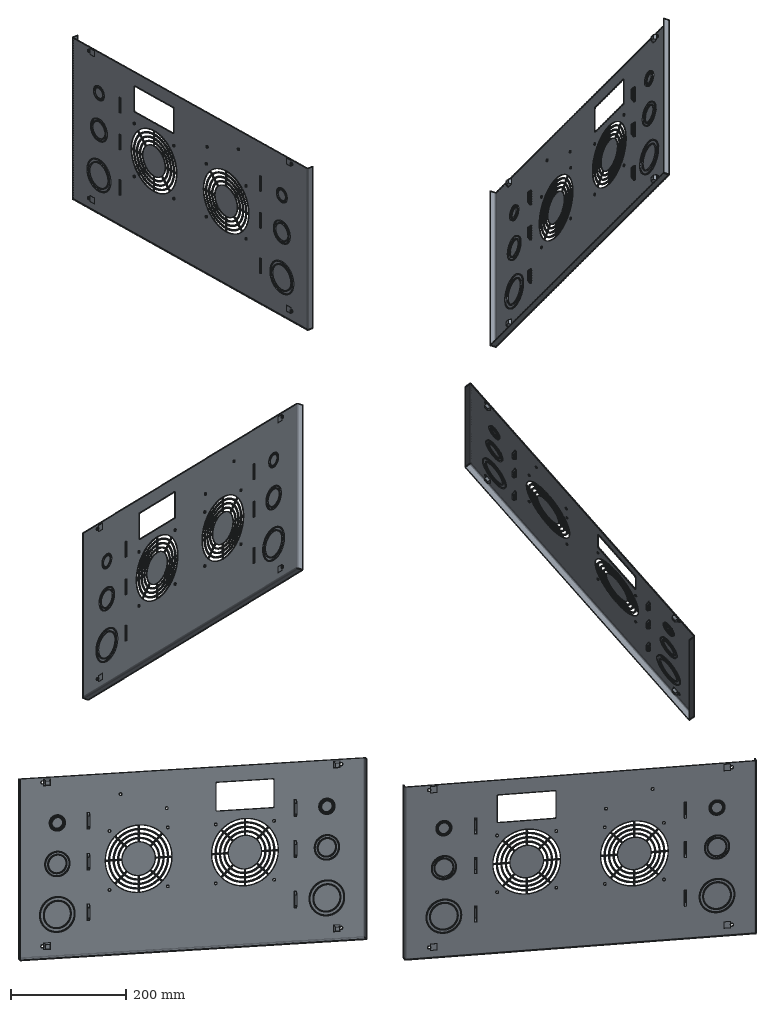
import cadquery as cq
WIDTH = 625.0
HEIGHT = 321.0
DEPTH = 12.5
SHEET = 1.5
BEND_RADIUS = 2.1
CORNER_GAP = 1.0

FAN_X = 95.5
FAN_Z = 5.5
HUB_DIAMETER = 60.0
GRILLE_SLOT = 6.0
GRILLE_RIB = 2.0
SLOT_RINGS = 4
SPOKE_BARS = 4
FAN_HOLE_PITCH = 105.0
FAN_HOLE_DIAMETER = 4.5

WINDOW_WIDTH = 104.5
WINDOW_HEIGHT = 51.0
WINDOW_Z = 107.5
WINDOW_CORNER_RADIUS = 2.0

CORNER_HOLE_DIAMETER = 5.55
CORNER_HOLE_X = 268.5
CORNER_HOLE_Z = (152.0, -140.0)
EXTRA_HOLE_DIAMETER = 4.75
EXTRA_HOLES = ((45.0, 92.5), (128.0, 122.5))

KNOCKOUT_X = 242.5
KNOCKOUTS = (
    (79.0, 22.5, 25.5),
    (FAN_Z, 35.0, 42.0),
    (-84.5, 50.5, 60.5),
)
GROOVE_DEPTH = 2.8
BRIDGE_X = 186.0
BRIDGE_WIDTH = 4.0
BRIDGE_LENGTH = 29.5
BRIDGE_RISE = 5.25

BLOCK_X = 260.5
BLOCK_BASE = 12.0
BLOCK_HEIGHT = 5.25
BLOCK_TAPER = 22.0

SIDES = (-1, 1)


def on_sheet(y=0.0):
    """Workplane parallel to the sheet at depth y: local x is X, local y is Z, and extrusion goes to +Y."""
    return cq.Workplane(cq.Plane(origin=(0, y, 0), xDir=(1, 0, 0), normal=(0, -1, 0)))


def through(sketch):
    return sketch.extrude(-SHEET)


def rounded_block(inset, radius):
    """Tray envelope moved inwards by inset; it stays open at the back and the top."""
    width = WIDTH - 2 * inset
    block = cq.Workplane("XY").box(width, DEPTH - inset, HEIGHT, centered=(True, False, True))
    block = block.translate((0, inset, inset))
    return block.edges("<Y and (|Z or <Z)").fillet(radius)


def make_tray():
    tray = rounded_block(0, BEND_RADIUS).cut(rounded_block(SHEET, BEND_RADIUS - SHEET))
    relief = (
        cq.Workplane("XZ")
        .pushPoints([(side * WIDTH / 2, -HEIGHT / 2) for side in SIDES])
        .rect(2 * CORNER_GAP, 2 * CORNER_GAP)
        .extrude(-DEPTH)
    )
    return tray.cut(relief)


def grille_slots():
    slots = cq.Workplane("XZ")
    for ring in range(SLOT_RINGS):
        inner = HUB_DIAMETER / 2 + ring * (GRILLE_SLOT + GRILLE_RIB)
        slots = slots.add(through(on_sheet().circle(inner + GRILLE_SLOT).circle(inner)))
    slots = slots.combine()
    outer_diameter = HUB_DIAMETER + 2 * SLOT_RINGS * (GRILLE_SLOT + GRILLE_RIB)
    for bar in range(SPOKE_BARS):
        spoke = through(on_sheet().rect(outer_diameter, GRILLE_RIB))
        slots = slots.cut(spoke.rotate((0, 0, 0), (0, 1, 0), bar * 180 / SPOKE_BARS))
    return slots


def fan_opening(x):
    holes = through(on_sheet().rect(FAN_HOLE_PITCH, FAN_HOLE_PITCH, forConstruction=True)
                    .vertices().circle(FAN_HOLE_DIAMETER / 2))
    return [grille_slots().translate((x, 0, FAN_Z)), holes.translate((x, 0, FAN_Z))]


def window():
    opening = through(on_sheet().center(-FAN_X, WINDOW_Z).rect(WINDOW_WIDTH, WINDOW_HEIGHT))
    return opening.edges("|Y").fillet(WINDOW_CORNER_RADIUS)


def single_holes():
    corners = [(side * CORNER_HOLE_X, z) for side in SIDES for z in CORNER_HOLE_Z]
    corner_holes = through(on_sheet().pushPoints(corners).circle(CORNER_HOLE_DIAMETER / 2))
    extra_holes = through(on_sheet().pushPoints(EXTRA_HOLES).circle(EXTRA_HOLE_DIAMETER / 2))
    return [corner_holes, extra_holes]


def add_knockout(tray, x, z, inner_diameter, outer_diameter):
    """Ring groove pressed into the front, standing out as a ring on the back."""
    ring = (
        on_sheet().center(x, z)
        .circle(outer_diameter / 2 + SHEET).circle(inner_diameter / 2 - SHEET)
        .extrude(-GROOVE_DEPTH - SHEET)
    )
    groove = (
        on_sheet().center(x, z)
        .circle(outer_diameter / 2).circle(inner_diameter / 2)
        .extrude(-GROOVE_DEPTH)
    )
    return tray.union(ring).cut(groove)


def bridge_prism(x, z, y):
    """Trapezoid with 45-degree ends, from depth y to the bridge's rise above it."""
    half = BRIDGE_LENGTH / 2
    profile = [
        (y, half), (y + BRIDGE_RISE, half - BRIDGE_RISE),
        (y + BRIDGE_RISE, BRIDGE_RISE - half), (y, -half),
    ]
    prism = cq.Workplane("YZ").polyline(profile).close().extrude(BRIDGE_WIDTH / 2, both=True)
    return prism.translate((x, 0, z))


def add_bridge(tray, x, z):
    """Lanced strip pushed out to the back, leaving a passage for a cable tie."""
    return tray.union(bridge_prism(x, z, SHEET)).cut(bridge_prism(x, z, 0))


def make_block(x, z):
    block = on_sheet().rect(BLOCK_BASE, BLOCK_BASE).extrude(-BLOCK_HEIGHT, taper=BLOCK_TAPER)
    return block.translate((x, SHEET, z))


panel = make_tray()
for cutter in fan_opening(-FAN_X) + fan_opening(FAN_X) + single_holes() + [window()]:
    panel = panel.cut(cutter)
for side in SIDES:
    for knockout_z, inner_diameter, outer_diameter in KNOCKOUTS:
        panel = add_knockout(panel, side * KNOCKOUT_X, knockout_z, inner_diameter, outer_diameter)
        panel = add_bridge(panel, side * BRIDGE_X, knockout_z)

blocks = [make_block(side * BLOCK_X, z) for side in SIDES for z in CORNER_HOLE_Z]

result = cq.Compound.makeCompound([panel.val(), *[block.val() for block in blocks]])